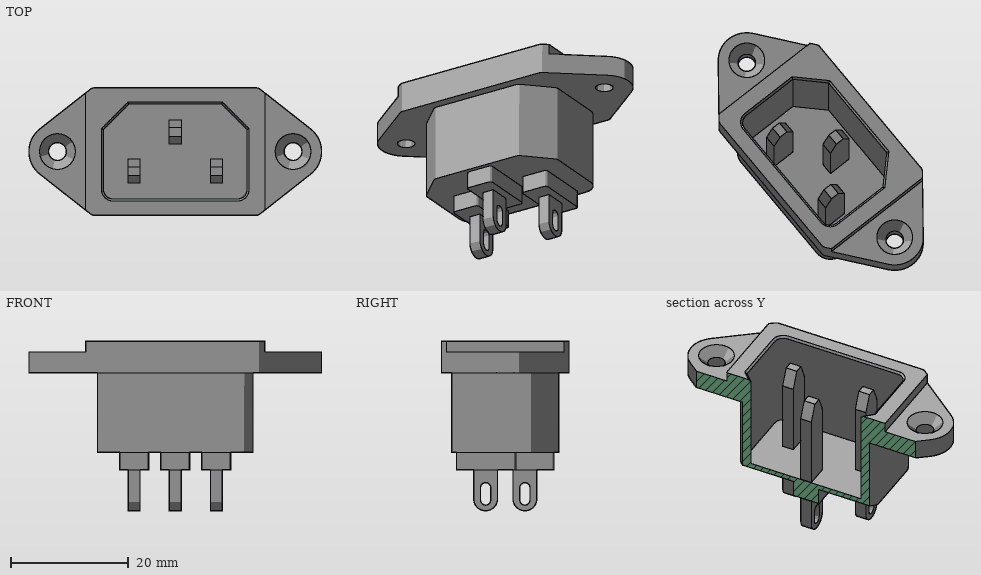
import cadquery as cq
import math

ear_top_z = -1.8
flange_bottom_z = -5.4
body_bottom_z = -18.85
boss_bottom_z = -21.85
tag_bottom_z = -28.8
blade_tip_z = -1.9

flange_length = 49.8
flange_width = 21.7
rim_length = 30.45
ear_radius = 4.9
ear_flank_width = 19.9
flange_corner_radius = 1.1
hole_diameter = 3.0
countersink_diameter = 6.05
countersink_angle = 90.0
hole_x = flange_length / 2 - ear_radius

body_length = 26.5
body_width = 18.2
body_chamfer = 4.8
body_round_radius = 3.0
body_chamfer_edge_radius = 1.0

wall = 1.05
cavity_length = body_length - 2 * wall
cavity_width = body_width - 2 * wall
cavity_chamfer = 4.35
cavity_round_radius = 1.65
mouth_bevel = 0.35
floor_z = body_bottom_z + wall

contact_pitch = 6.95
contact_offset_y = 3.35
contact_thickness = 2.05
contact_width = 4.1
tip_flat = 1.5
tip_height = 3.0
slot_width = 1.7
slot_length = 3.8
slot_margin = 1.0

boss_length = 5.0
boss_width = 10.1
boss_edge_y = 8.3
boss_corner_radius = 0.5

contacts = [(-contact_pitch, -1), (0, 1), (contact_pitch, -1)]


def block(outline, bottom_z, top_z):
    """Extrude a closed XY outline between two heights."""
    return outline.extrude(top_z - bottom_z).translate((0, 0, bottom_z))


def make_flange():
    run = hole_x - rim_length / 2
    rise = ear_flank_width / 2
    tangent_angle = math.atan2(rise, -run) - math.acos(ear_radius / math.hypot(run, rise))
    tangent_x = hole_x + ear_radius * math.cos(tangent_angle)
    tangent_y = ear_radius * math.sin(tangent_angle)
    half_width = flange_width / 2
    corner_x = tangent_x - (half_width - tangent_y) * math.tan(tangent_angle)
    half_length = flange_length / 2

    outline = (
        cq.Workplane("XY")
        .moveTo(-corner_x, half_width)
        .lineTo(corner_x, half_width)
        .lineTo(tangent_x, tangent_y)
        .threePointArc((half_length, 0), (tangent_x, -tangent_y))
        .lineTo(corner_x, -half_width)
        .lineTo(-corner_x, -half_width)
        .lineTo(-tangent_x, -tangent_y)
        .threePointArc((-half_length, 0), (-tangent_x, tangent_y))
        .close()
    )
    plate = block(outline, flange_bottom_z, 0)
    plate = plate.edges("|Z and (<Y or >Y)").fillet(flange_corner_radius)

    rim = block(cq.Workplane("XY").rect(rim_length, flange_width), ear_top_z, 0)
    ears = block(cq.Workplane("XY").rect(flange_length, flange_width), flange_bottom_z, ear_top_z)
    return plate.intersect(rim.union(ears))


def cut_mounting_holes(solid):
    return (
        solid.copyWorkplane(cq.Workplane("XY", origin=(0, 0, ear_top_z)))
        .pushPoints([(-hole_x, 0), (hole_x, 0)])
        .cskHole(hole_diameter, countersink_diameter, countersink_angle)
    )


def socket_prism(length, width, chamfer, round_radius, bottom_z, top_z):
    """Box with two bevelled +Y corners and two rounded -Y corners."""
    prism = block(cq.Workplane("XY").rect(length, width), bottom_z, top_z)
    prism = prism.edges("|Z and >Y").chamfer(chamfer)
    return prism.edges("|Z and <Y").fillet(round_radius)


def make_body():
    body = socket_prism(
        body_length, body_width, body_chamfer, body_round_radius, body_bottom_z, flange_bottom_z
    )
    bevel_edges = cq.selectors.BoxSelector(
        (-body_length, 0, body_bottom_z), (body_length, body_width, flange_bottom_z)
    )
    return body.edges("|Z").edges(bevel_edges).fillet(body_chamfer_edge_radius)


def make_cavity():
    return socket_prism(cavity_length, cavity_width, cavity_chamfer, cavity_round_radius, floor_z, 0)


def bevel_mouth(solid):
    mouth_edges = cq.selectors.BoxSelector(
        (-body_length / 2, -body_width / 2, -mouth_bevel / 2),
        (body_length / 2, body_width / 2, mouth_bevel / 2),
    )
    return solid.edges(mouth_edges).chamfer(mouth_bevel)


def make_boss(x, side):
    centre_y = side * (boss_edge_y - boss_width / 2)
    outline = cq.Workplane("XY").center(x, centre_y).rect(boss_length, boss_width)
    return block(outline, boss_bottom_z, body_bottom_z).edges("|Z").fillet(boss_corner_radius)


def make_contact(x, side):
    half_width = contact_width / 2
    half_tip = tip_flat / 2
    shoulder_z = blade_tip_z - tip_height
    round_z = tag_bottom_z + half_width
    slot_z = tag_bottom_z + slot_margin + slot_length / 2
    profile = (
        cq.Workplane("YZ")
        .moveTo(-half_tip, blade_tip_z)
        .lineTo(half_tip, blade_tip_z)
        .lineTo(half_width, shoulder_z)
        .lineTo(half_width, round_z)
        .threePointArc((0, tag_bottom_z), (-half_width, round_z))
        .lineTo(-half_width, shoulder_z)
        .close()
    )
    strip = profile.extrude(contact_thickness / 2, both=True)
    slot = (
        cq.Workplane("YZ")
        .center(0, slot_z)
        .slot2D(slot_length, slot_width, 90)
        .extrude(contact_thickness, both=True)
    )
    return strip.cut(slot).translate((x, side * contact_offset_y, 0))


result = cut_mounting_holes(make_flange())
result = result.union(make_body()).cut(make_cavity())
result = bevel_mouth(result)
for contact_x, contact_side in contacts:
    result = result.union(make_boss(contact_x, contact_side))
    result = result.union(make_contact(contact_x, contact_side))